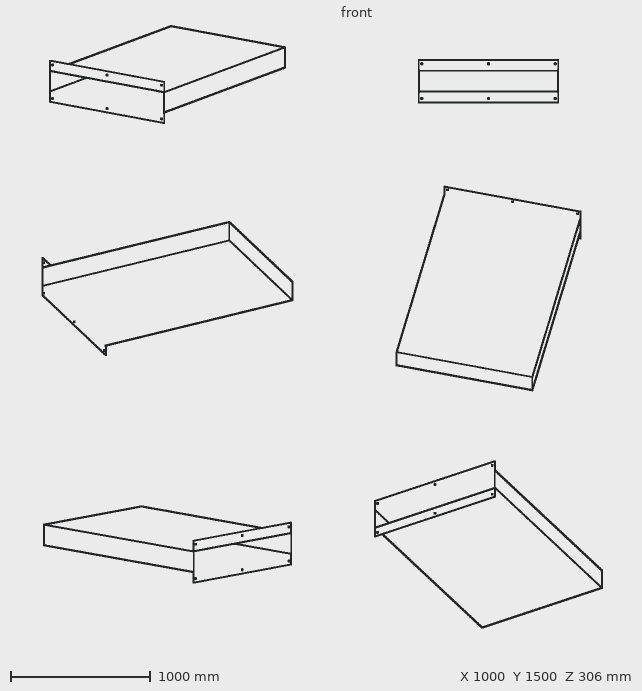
import cadquery as cq

width = 1000.0
length = 1500.0
height = 306.0
sheet = 3.0
cavity_height = 147.0
bend_radius = 3.0
hole_diameter = 9.0
hole_side_inset = 22.0
hole_edge_inset = 28.0

box_height = cavity_height + 2 * sheet
front_y = -length / 2


def make_tray():
    """Rectangular sheet box, closed at the back and open at the front."""
    shell = cq.Workplane("XY").box(width, length, box_height)
    cavity = (
        cq.Workplane("XY")
        .box(width - 2 * sheet, length - sheet, cavity_height)
        .translate((0, -sheet / 2, 0))
    )
    return shell.cut(cavity)


def make_flange(side):
    """Front mounting strip above (side = 1) or below (side = -1) the opening."""
    strip_height = (height - cavity_height) / 2
    strip_z = side * (height - strip_height) / 2
    strip = (
        cq.Workplane("XY")
        .box(width, sheet, strip_height)
        .translate((0, front_y + sheet / 2, strip_z))
    )
    hole_x = width / 2 - hole_side_inset
    hole_z = side * (height / 2 - hole_edge_inset)
    holes = (
        cq.Workplane("XZ", origin=(0, front_y, 0))
        .pushPoints([(x, hole_z) for x in (-hole_x, 0, hole_x)])
        .circle(hole_diameter / 2)
        .extrude(-sheet)
    )
    return strip.cut(holes)


def round_bend(body, side):
    """Round both faces of the sheet where a flange turns into the tray."""
    inner_corner = (0, front_y + sheet, side * box_height / 2)
    outer_corner = (0, front_y, side * cavity_height / 2)
    body = body.edges(cq.NearestToPointSelector(outer_corner)).fillet(bend_radius + sheet)
    return body.edges(cq.NearestToPointSelector(inner_corner)).fillet(bend_radius)


result = make_tray()
for flange_side in (1, -1):
    result = result.union(make_flange(flange_side))
    result = round_bend(result, flange_side)